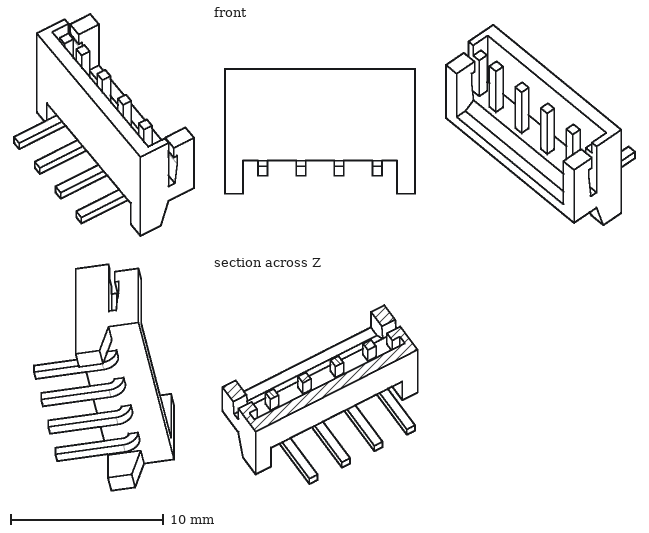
import cadquery as cq
import math

WIDTH = 12.5
HEIGHT = 8.2
DEPTH = 4.2

SHELL_DEPTH = 2.2
FRONT_WALL = 0.91
END_WALL = 0.46
FLOOR_Z = 3.68
BODY_BOTTOM_Z = 2.18

FOOT_WIDTH = 1.2
FOOT_DEPTH = 1.6

POST_WIDTH = 1.05
POST_TOP_Z = 7.4
HOOK_Y = 2.61
HOOK_BOTTOM_Z = 6.4
POST_FACE_Y = 2.88
TAPER_TOP_Z = 5.56
TAPER_FOOT_Y = 2.7

RIM_DEPTH = 0.78
RIM_TOP_Z = 3.15

LEDGE_FRONT_Y = 1.5
LEDGE_TOP_Z = 7.2

PIN_COUNT = 4
PIN_PITCH = 2.5
PIN_SIZE = 0.64
PIN_BACK_Y = 2.32
PIN_TOP_Z = 7.68
PIN_TAIL_Z = 1.19
PIN_TAIL_LENGTH = 3.2
BEND_RADIUS = BODY_BOTTOM_Z - PIN_TAIL_Z


def extrude_along_x(profile, x_start, length):
    """Extrude a closed (Y, Z) profile along +X from x_start."""
    return cq.Workplane("YZ").workplane(offset=x_start).polyline(profile).close().extrude(length)


def box_between(x_start, x_end, y_start, y_end, z_start, z_end):
    """Box given by its limits along X, Y and Z."""
    size = (x_end - x_start, y_end - y_start, z_end - z_start)
    return cq.Workplane("XY").box(*size, centered=False).translate((x_start, y_start, z_start))


def make_base():
    """Floor slab over the full width, with its back edge sloped down to the rim."""
    profile = [
        (0, BODY_BOTTOM_Z),
        (0, FLOOR_Z),
        (TAPER_FOOT_Y, FLOOR_Z),
        (DEPTH - RIM_DEPTH, RIM_TOP_Z),
        (DEPTH, RIM_TOP_Z),
        (DEPTH, BODY_BOTTOM_Z),
    ]
    return extrude_along_x(profile, -WIDTH / 2, WIDTH)


def make_shell():
    """Front wall with its two end returns, standing on the floor."""
    half = WIDTH / 2
    inner_half = half - END_WALL
    outside = box_between(-half, half, 0, SHELL_DEPTH, FLOOR_Z, HEIGHT)
    cavity = box_between(-inner_half, inner_half, FRONT_WALL, SHELL_DEPTH, FLOOR_Z, HEIGHT)
    return outside.cut(cavity)


def make_left_end():
    """Foot, latch post and corner ledge at the -X end."""
    left = -WIDTH / 2
    foot_profile = [
        (0, 0),
        (FOOT_DEPTH, 0),
        (SHELL_DEPTH, BODY_BOTTOM_Z),
        (0, BODY_BOTTOM_Z),
    ]
    post_profile = [
        (TAPER_FOOT_Y, BODY_BOTTOM_Z),
        (TAPER_FOOT_Y, FLOOR_Z),
        (POST_FACE_Y, TAPER_TOP_Z),
        (POST_FACE_Y, HOOK_BOTTOM_Z),
        (HOOK_Y, HOOK_BOTTOM_Z),
        (HOOK_Y, POST_TOP_Z),
        (DEPTH, POST_TOP_Z),
        (DEPTH, BODY_BOTTOM_Z),
    ]
    foot = extrude_along_x(foot_profile, left, FOOT_WIDTH)
    post = extrude_along_x(post_profile, left, POST_WIDTH)
    ledge = box_between(left, left + POST_WIDTH, LEDGE_FRONT_Y, SHELL_DEPTH, FLOOR_Z, LEDGE_TOP_Z)
    return foot, post, ledge


def make_pin(x_center):
    """Square pin rising through the floor, bent forward under the body."""
    front_y = PIN_BACK_Y - PIN_SIZE
    tail_top_z = PIN_TAIL_Z + PIN_SIZE
    center_y = PIN_BACK_Y - BEND_RADIUS
    center_z = PIN_TAIL_Z + BEND_RADIUS
    inner_radius = BEND_RADIUS - PIN_SIZE
    outer = BEND_RADIUS * math.cos(math.pi / 4)
    inner = inner_radius * math.cos(math.pi / 4)
    return (
        cq.Workplane("YZ")
        .workplane(offset=x_center - PIN_SIZE / 2)
        .moveTo(front_y, PIN_TOP_Z)
        .lineTo(PIN_BACK_Y, PIN_TOP_Z)
        .lineTo(PIN_BACK_Y, center_z)
        .threePointArc((center_y + outer, center_z - outer), (center_y, PIN_TAIL_Z))
        .lineTo(-PIN_TAIL_LENGTH, PIN_TAIL_Z)
        .lineTo(-PIN_TAIL_LENGTH, tail_top_z)
        .lineTo(center_y, tail_top_z)
        .threePointArc((center_y + inner, center_z - inner), (front_y, center_z))
        .close()
        .extrude(PIN_SIZE)
    )


def make_housing(pins):
    """Housing with both mirrored ends and a matching hole around each pin."""
    housing = make_base().union(make_shell())
    for feature in make_left_end():
        housing = housing.union(feature).union(feature.mirror("YZ"))
    for pin in pins:
        housing = housing.cut(pin)
    return housing


pins = [make_pin((i - (PIN_COUNT - 1) / 2) * PIN_PITCH) for i in range(PIN_COUNT)]
housing = make_housing(pins)

result = cq.Compound.makeCompound([housing.val(), *[pin.val() for pin in pins]])